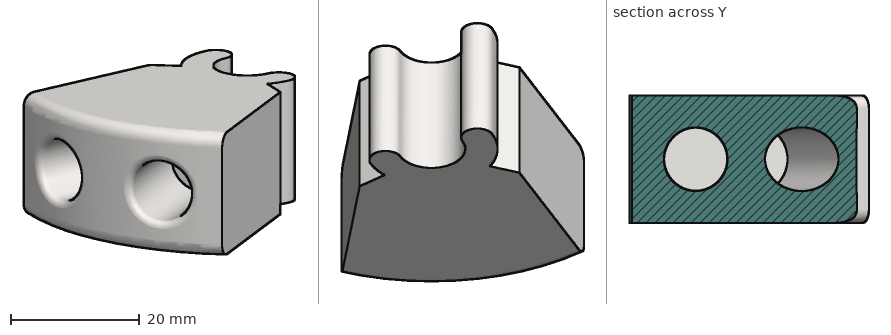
import cadquery as cq
import math

height = 19.8
half_width = height / 2
rim_radius = 38.0
rim_fillet = 2.02
wall_angle = 30.0

clip_outer_radius = 10.3
clip_bore_radius = 5.25
tip_radius = (clip_outer_radius - clip_bore_radius) / 2
tip_offset = (clip_outer_radius + clip_bore_radius) / 2

shoulder_drop = 11.5
shoulder_slope = 45.0

hole_diameter = 9.8
hole_depth = 18.0
mouth_fillet = 1.0


def turned(point, angle):
    """Rotate a plan point counterclockwise about the clip axis."""
    a = math.radians(angle)
    x, y = point
    return (x * math.cos(a) - y * math.sin(a), x * math.sin(a) + y * math.cos(a))


def on_right_wall(point):
    """Mirror a plan point from the left wall onto the right wall."""
    x, y = point
    return turned((-x, y), wall_angle)


def make_body():
    """Sector with sloped shoulders, a curved outer face and rounded rim edges."""
    rim_corner = (-half_width, -math.sqrt(rim_radius**2 - half_width**2))
    shoulder = (-half_width, -shoulder_drop)
    shoulder_rise = half_width * math.tan(math.radians(shoulder_slope))
    neck = (0, shoulder_rise - shoulder_drop)
    rim_middle = turned((0, -rim_radius), wall_angle / 2)
    body = (
        cq.Workplane("XY")
        .moveTo(*neck)
        .lineTo(*shoulder)
        .lineTo(*rim_corner)
        .threePointArc(rim_middle, on_right_wall(rim_corner))
        .lineTo(*on_right_wall(shoulder))
        .lineTo(*on_right_wall(neck))
        .close()
        .extrude(height)
    )
    rim_face = body.faces(cq.selectors.NearestToPointSelector((*rim_middle, height / 2)))
    return rim_face.edges("%CIRCLE").fillet(rim_fillet)


def make_clip():
    """Half ring opening toward +Y, with a round tip on each arm."""
    return (
        cq.Workplane("XY")
        .moveTo(-clip_outer_radius, 0)
        .threePointArc((0, -clip_outer_radius), (clip_outer_radius, 0))
        .threePointArc((tip_offset, tip_radius), (clip_bore_radius, 0))
        .threePointArc((0, -clip_bore_radius), (-clip_bore_radius, 0))
        .threePointArc((-tip_offset, tip_radius), (-clip_outer_radius, 0))
        .close()
        .extrude(height)
    )


def make_hole(angle):
    """Blind radial hole entering through the curved outer face."""
    floor_distance = rim_radius - hole_depth
    return (
        cq.Workplane("XZ", origin=(0, -floor_distance, height / 2))
        .circle(hole_diameter / 2)
        .extrude(2 * hole_depth)
        .rotate((0, 0, 0), (0, 0, 1), angle)
    )


bore = cq.Workplane("XY").circle(clip_bore_radius).extrude(height)
result = make_body().cut(bore).union(make_clip())

for hole_angle in (0, wall_angle):
    result = result.cut(make_hole(hole_angle))
    mouth_centre = (*turned((0, -rim_radius), hole_angle), height / 2)
    mouth = cq.selectors.NearestToPointSelector(mouth_centre)
    result = result.edges(mouth).fillet(mouth_fillet)